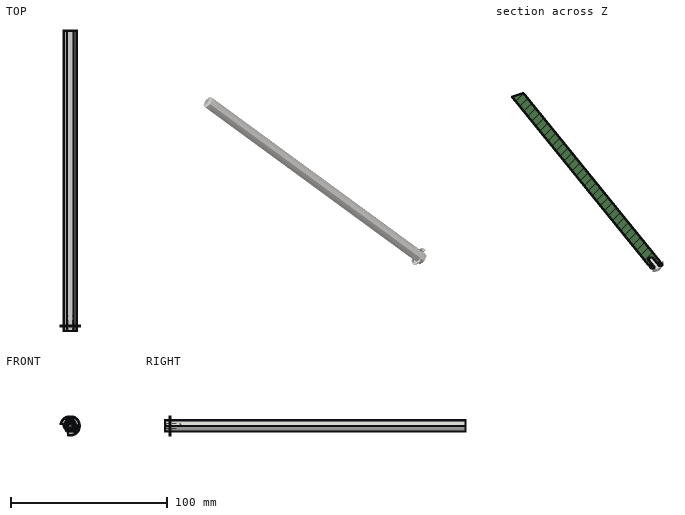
import cadquery as cq
import math

SHAFT_LENGTH = 192.0
ACROSS_FLATS = 7.3
ACROSS_CORNERS = ACROSS_FLATS / math.cos(math.pi / 6)
END_FACE_RADIUS = 3.5
CHAMFER_ANGLE = math.radians(20)

COUNTERSINK_RADIUS = 2.1
HOLE_RADIUS = 1.5
HOLE_DEPTH = 9.6
DRILL_POINT_ANGLE = math.radians(118)

CLIP_THICKNESS = 0.5
CLIP_MIDPLANE = 3.3
CLIP_SETBACK = CLIP_MIDPLANE - CLIP_THICKNESS / 2
CLIP_RADIUS = 6.1
GROOVE_RADIUS = 3.0
POCKET_RADIUS = 4.6
OPENING_TOP = 1.2
OPENING_SIDE = 1.44
CLIP_AXIS_ANGLE = 35.0
POCKET_OFFSET = 60.0
POCKET_SPAN = 55.0


def disc(radius):
    """Round plate filling the groove width."""
    return cq.Workplane("XZ", origin=(0, CLIP_SETBACK, 0)).circle(radius).extrude(-CLIP_THICKNESS)


def revolved(profile):
    """Turn a closed (radius, y) profile about the Y axis."""
    return cq.Workplane("XY").polyline(profile).close().revolve(360, (0, 0, 0), (0, 1, 0))


def chamfer_envelope():
    corner_radius = ACROSS_CORNERS / 2
    chamfer_depth = (corner_radius - END_FACE_RADIUS) * math.tan(CHAMFER_ANGLE)
    return revolved([
        (0, 0),
        (END_FACE_RADIUS, 0),
        (corner_radius, chamfer_depth),
        (corner_radius, SHAFT_LENGTH),
        (0, SHAFT_LENGTH),
    ])


def end_hole():
    countersink_depth = COUNTERSINK_RADIUS - HOLE_RADIUS
    point_depth = HOLE_RADIUS / math.tan(DRILL_POINT_ANGLE / 2)
    return revolved([
        (0, 0),
        (COUNTERSINK_RADIUS, 0),
        (HOLE_RADIUS, countersink_depth),
        (HOLE_RADIUS, HOLE_DEPTH),
        (0, HOLE_DEPTH + point_depth),
    ])


def make_shaft():
    bar = cq.Workplane("XZ").polygon(6, ACROSS_CORNERS).extrude(-SHAFT_LENGTH)
    groove = disc(ACROSS_CORNERS).cut(disc(GROOVE_RADIUS))
    return bar.intersect(chamfer_envelope()).cut(groove).cut(end_hole())


def clip_pocket(direction):
    """Sector of the clip cut back to the pocket radius, centred on a direction in degrees."""
    def rim(angle):
        turn = math.radians(angle)
        return POCKET_RADIUS * math.cos(turn), POCKET_RADIUS * math.sin(turn)

    return (cq.Workplane("XZ", origin=(0, CLIP_SETBACK, 0))
            .lineTo(*rim(direction - POCKET_SPAN / 2))
            .threePointArc(rim(direction), rim(direction + POCKET_SPAN / 2))
            .close()
            .extrude(-CLIP_THICKNESS))


def clip_opening():
    """Quarter of the clip removed towards -X and -Z, so that it can slide onto the shaft."""
    return (cq.Workplane("XZ", origin=(0, CLIP_SETBACK, 0))
            .moveTo(-OPENING_SIDE, OPENING_TOP)
            .rect(-2 * CLIP_RADIUS, -2 * CLIP_RADIUS, centered=False)
            .extrude(-CLIP_THICKNESS))


def make_clip():
    clip = disc(CLIP_RADIUS).cut(disc(GROOVE_RADIUS)).cut(clip_opening())
    for side in (-1, 1):
        clip = clip.cut(clip_pocket(CLIP_AXIS_ANGLE + side * POCKET_OFFSET))
    return clip


shaft = make_shaft()
clip = make_clip()
result = cq.Compound.makeCompound([shaft.val(), clip.val()])